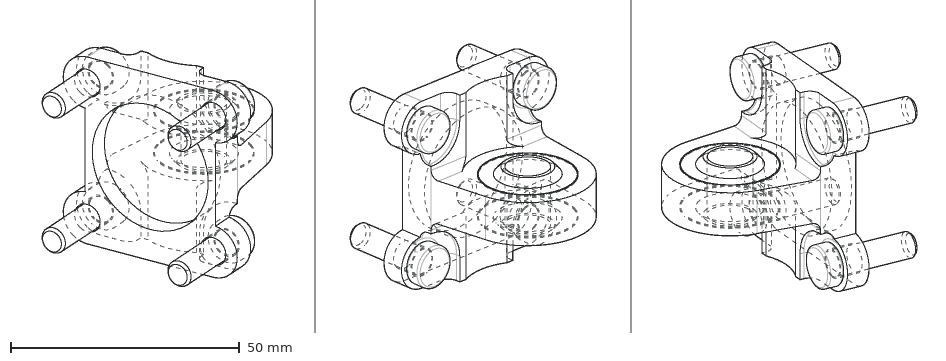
import cadquery as cq
import math


OVERALL_LENGTH = 51.45
EYE_DIAMETER = 30.0
EYE_RADIUS = EYE_DIAMETER / 2
LUG_HALF_THICKNESS = 5.2
LUG_FILLET = 2.0
BORE_DIAMETER = 10.0
BALL_RADIUS = 9.15
BALL_HALF_WIDTH = 7.0
GROOVE_OUTER_DIAMETER = 22.0
GROOVE_WIDTH = 0.15
GROOVE_DEPTH = 0.25
SCOOP_RADIUS = 14.4

FLANGE_BACK = -12.95
FLANGE_FRONT = -21.95
FLANGE_HALF_WIDTH = 16.9
BOLT_OFFSET = 16.25
EAR_DIAMETER = 12.5
EAR_RADIUS = EAR_DIAMETER / 2
FLANGE_HALF_HEIGHT = BOLT_OFFSET + EAR_RADIUS
RECESS_DIAMETER = 30.0
RECESS_DEPTH = 5.0

SEAT_LEVEL = -16.45
SEAT_RADIUS = 8.15
SEAT_FILLET = 2.5
CLEARANCE_DIAMETER = 6.6

SCREW_TIP = EYE_RADIUS - OVERALL_LENGTH
SHANK_DIAMETER = 6.0
TIP_CHAMFER_RADIAL = 0.55
TIP_CHAMFER_LENGTH = 0.7
HEAD_DIAMETER = 10.0
HEAD_HEIGHT = 4.0
HEAD_FILLET = 0.5

BOLT_SIDES = [(x_side, z_side) for x_side in (-1, 1) for z_side in (-1, 1)]


def cylinder_along_y(x, z, radius, y_start, y_end):
    """Cylinder parallel to Y between two Y levels, with y_end above y_start."""
    return cq.Workplane(cq.Solid.makeCylinder(
        radius, y_end - y_start, cq.Vector(x, y_start, z), cq.Vector(0, 1, 0)))


def make_flange():
    """Square flange with a round ear at each corner."""
    ear_drop = math.sqrt(EAR_RADIUS**2 - (FLANGE_HALF_WIDTH - BOLT_OFFSET)**2)
    ear_root = BOLT_OFFSET - ear_drop
    top = FLANGE_HALF_HEIGHT
    ear_middle = (FLANGE_HALF_HEIGHT, BOLT_OFFSET)
    return (
        cq.Workplane("XZ", origin=(0, FLANGE_BACK, 0))
        .moveTo(-BOLT_OFFSET, top)
        .lineTo(BOLT_OFFSET, top)
        .threePointArc(ear_middle, (FLANGE_HALF_WIDTH, ear_root))
        .lineTo(FLANGE_HALF_WIDTH, -ear_root)
        .threePointArc((ear_middle[0], -ear_middle[1]), (BOLT_OFFSET, -top))
        .lineTo(-BOLT_OFFSET, -top)
        .threePointArc((-ear_middle[0], -ear_middle[1]), (-FLANGE_HALF_WIDTH, -ear_root))
        .lineTo(-FLANGE_HALF_WIDTH, ear_root)
        .threePointArc((-ear_middle[0], ear_middle[1]), (-BOLT_OFFSET, top))
        .close()
        .extrude(FLANGE_BACK - FLANGE_FRONT)
    )


def make_lug():
    """Round-ended lug with tangent sides, flared by fillets where it meets the flange."""
    corner_distance = math.hypot(FLANGE_HALF_WIDTH, FLANGE_BACK)
    tangent_angle = (math.atan2(FLANGE_BACK, FLANGE_HALF_WIDTH)
                     + math.acos(EYE_RADIUS / corner_distance))
    tangent_x = EYE_RADIUS * math.cos(tangent_angle)
    tangent_y = EYE_RADIUS * math.sin(tangent_angle)
    flare_half_height = LUG_HALF_THICKNESS + LUG_FILLET
    outline = (
        cq.Workplane("XY", origin=(0, 0, -flare_half_height))
        .moveTo(-FLANGE_HALF_WIDTH, FLANGE_BACK)
        .lineTo(FLANGE_HALF_WIDTH, FLANGE_BACK)
        .lineTo(tangent_x, tangent_y)
        .threePointArc((0, EYE_RADIUS), (-tangent_x, tangent_y))
        .close()
        .extrude(2 * flare_half_height)
    )
    fillet_start = FLANGE_BACK + LUG_FILLET
    fillet_dip = LUG_FILLET * (1 - math.sqrt(0.5))
    fillet_middle_y = FLANGE_BACK + fillet_dip
    fillet_middle_z = LUG_HALF_THICKNESS + fillet_dip
    side_profile = (
        cq.Workplane("YZ")
        .moveTo(FLANGE_BACK, -flare_half_height)
        .threePointArc((fillet_middle_y, -fillet_middle_z), (fillet_start, -LUG_HALF_THICKNESS))
        .lineTo(EYE_RADIUS, -LUG_HALF_THICKNESS)
        .lineTo(EYE_RADIUS, LUG_HALF_THICKNESS)
        .lineTo(fillet_start, LUG_HALF_THICKNESS)
        .threePointArc((fillet_middle_y, fillet_middle_z), (FLANGE_BACK, flare_half_height))
        .close()
        .extrude(FLANGE_HALF_WIDTH, both=True)
    )
    return outline.intersect(side_profile)


def make_scoops():
    """Round clearance around the eye, cut into the flange above and below the lug."""
    upper = (
        cq.Workplane("XY", origin=(0, 0, LUG_HALF_THICKNESS))
        .circle(SCOOP_RADIUS)
        .extrude(FLANGE_HALF_HEIGHT - LUG_HALF_THICKNESS)
    )
    return upper.add(upper.mirror("XY"))


def make_ball():
    """Spherical bearing ball with flat ends."""
    width_limit = cq.Workplane("XY").circle(BALL_RADIUS).extrude(BALL_HALF_WIDTH, both=True)
    return cq.Workplane("XY").sphere(BALL_RADIUS).intersect(width_limit)


def make_grooves():
    """Thin ring groove around the bearing on both faces of the lug."""
    outer_radius = GROOVE_OUTER_DIAMETER / 2
    upper = (
        cq.Workplane("XY", origin=(0, 0, LUG_HALF_THICKNESS - GROOVE_DEPTH))
        .circle(outer_radius)
        .circle(outer_radius - GROOVE_WIDTH)
        .extrude(GROOVE_DEPTH)
    )
    return upper.add(upper.mirror("XY"))


def make_seat(x_side, z_side):
    """Open corner pocket: rounded around the screw, with a filleted floor."""
    depth = FLANGE_BACK - SEAT_LEVEL
    size = 2 * SEAT_RADIUS + EAR_RADIUS
    centre = BOLT_OFFSET - SEAT_RADIUS + size / 2
    return (
        cq.Workplane("XZ", origin=(x_side * centre, FLANGE_BACK, z_side * centre))
        .rect(size, size)
        .extrude(depth)
        .edges("|Y")
        .fillet(SEAT_RADIUS)
        .faces("<Y")
        .edges()
        .fillet(SEAT_FILLET)
    )


def make_housing():
    """Flange and lug with the bearing, the front recess, and the screw seats and holes."""
    housing = make_flange().union(make_lug())
    for scoop in make_scoops().vals():
        housing = housing.cut(cq.Workplane(scoop))
    housing = housing.union(make_ball())
    for groove in make_grooves().vals():
        housing = housing.cut(cq.Workplane(groove))
    bore = cq.Workplane("XY").circle(BORE_DIAMETER / 2).extrude(BALL_HALF_WIDTH, both=True)
    recess = cylinder_along_y(0, 0, RECESS_DIAMETER / 2, FLANGE_FRONT, FLANGE_FRONT + RECESS_DEPTH)
    housing = housing.cut(bore).cut(recess)
    for x_side, z_side in BOLT_SIDES:
        hole = cylinder_along_y(
            x_side * BOLT_OFFSET, z_side * BOLT_OFFSET, CLEARANCE_DIAMETER / 2, FLANGE_FRONT, FLANGE_BACK)
        housing = housing.cut(make_seat(x_side, z_side)).cut(hole)
    return housing


def make_screw(x_side, z_side):
    """Plain screw with a rounded cylindrical head resting on its seat."""
    x = x_side * BOLT_OFFSET
    z = z_side * BOLT_OFFSET
    head = cylinder_along_y(x, z, HEAD_DIAMETER / 2, SEAT_LEVEL, SEAT_LEVEL + HEAD_HEIGHT)
    head = head.edges().fillet(HEAD_FILLET)
    shank = cylinder_along_y(x, z, SHANK_DIAMETER / 2, SCREW_TIP, SEAT_LEVEL)
    shank = shank.faces("<Y").chamfer(TIP_CHAMFER_LENGTH, TIP_CHAMFER_RADIAL)
    return head.union(shank)


housing = make_housing()
screws = [make_screw(x_side, z_side) for x_side, z_side in BOLT_SIDES]

result = cq.Compound.makeCompound([housing.val(), *(screw.val() for screw in screws)])